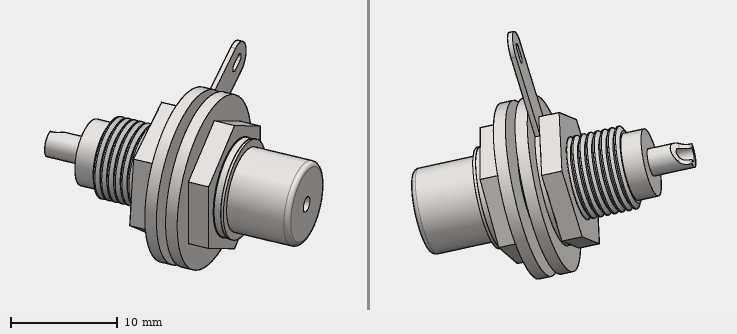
import cadquery as cq
import math


tail_length = 4.0
collar_length = 2.0
thread_start = tail_length + collar_length
nut_start = 11.1
nut_thickness = 2.0
lug_start = nut_start + nut_thickness
lug_thickness = 0.5
shoulder_washer_start = lug_start + lug_thickness
washer_thickness = 1.2
shoulder_start = shoulder_washer_start + washer_thickness
shoulder_length = 0.95
flat_washer_start = shoulder_start + shoulder_length
flange_start = flat_washer_start + washer_thickness
flange_thickness = 2.1
rim_start = flange_start + flange_thickness
rim_length = 1.05
barrel_start = rim_start + rim_length
barrel_end = 26.5

bore_diameter = 1.5
tail_diameter = 2.65
collar_diameter = 6.5
rim_diameter = 9.8
barrel_diameter = 8.3
barrel_edge_radius = 0.5

rim_groove_diameter = 9.7
rim_groove_offset = 0.07
rim_groove_length = 0.7

thread_diameter = 8.0
thread_root_diameter = 7.0
thread_pitch = 0.7
thread_crest_width = 0.14
thread_rings = int((lug_start - thread_start) / thread_pitch)

cup_arc_start = 0.2
cup_arc_radius = 1.13
cup_slope_angle = 55.0

nut_corners = 13.9
flange_corners = 13.7

washer_diameter = 17.0
shoulder_diameter = 9.2

lug_ring_diameter = 12.0
lug_width = 3.5
lug_reach = 14.08
slot_reach = 13.68
slot_length = 2.0
slot_width = 0.85

nut_turn = 7.5
lug_angle = 30.0 - nut_turn


def disc(start, thickness, diameter):
    return cq.Workplane("YZ", origin=(start, 0, 0)).circle(diameter / 2).extrude(thickness)


def ring(start, thickness, outer_diameter, inner_diameter):
    return disc(start, thickness, outer_diameter).cut(disc(start, thickness, inner_diameter))


def hexagon(start, thickness, corners, turn):
    """Hexagonal prism along X with a corner at the top, turned about X by `turn` degrees."""
    quarter_turn = 90
    prism = cq.Workplane("YZ", origin=(start, 0, 0)).polygon(6, corners).extrude(thickness)
    return prism.rotate((0, 0, 0), (1, 0, 0), quarter_turn + turn)


def turned_blank():
    """Revolved outline of the connector body: tail, collar, threaded shank, rim and barrel."""
    crest_radius = thread_diameter / 2
    root_radius = thread_root_diameter / 2
    flank_length = (thread_pitch - thread_crest_width) / 2

    outline = cq.Workplane("XY").moveTo(0, 0)
    outline = outline.lineTo(0, tail_diameter / 2)
    outline = outline.lineTo(tail_length, tail_diameter / 2)
    outline = outline.lineTo(tail_length, collar_diameter / 2)
    outline = outline.lineTo(thread_start, collar_diameter / 2)
    outline = outline.lineTo(thread_start, root_radius)
    for index in range(thread_rings):
        ring_start = thread_start + index * thread_pitch
        outline = outline.lineTo(ring_start + flank_length, crest_radius)
        outline = outline.lineTo(ring_start + flank_length + thread_crest_width, crest_radius)
        outline = outline.lineTo(ring_start + thread_pitch, root_radius)
    thread_end = thread_start + thread_rings * thread_pitch
    outline = outline.lineTo(thread_end, crest_radius)
    outline = outline.lineTo(rim_start, crest_radius)
    outline = outline.lineTo(rim_start, rim_diameter / 2)
    outline = outline.lineTo(barrel_start, rim_diameter / 2)
    outline = outline.lineTo(barrel_start, barrel_diameter / 2)
    outline = outline.lineTo(barrel_end, barrel_diameter / 2)
    outline = outline.lineTo(barrel_end, 0).close()
    return outline.revolve(360, (0, 0, 0), (1, 0, 0))


def solder_cup_cutter():
    """Material removed from the +Y half of the tail."""
    slope = math.radians(cup_slope_angle)
    half_slope = slope / 2
    arc_middle = (
        cup_arc_start + cup_arc_radius * math.sin(half_slope),
        cup_arc_radius - cup_arc_radius * math.cos(half_slope),
    )
    arc_end = (
        cup_arc_start + cup_arc_radius * math.sin(slope),
        cup_arc_radius - cup_arc_radius * math.cos(slope),
    )
    top_y = tail_diameter
    slope_end_x = arc_end[0] + (top_y - arc_end[1]) / math.tan(slope)
    return (
        cq.Workplane("XY")
        .moveTo(0, 0)
        .lineTo(cup_arc_start, 0)
        .threePointArc(arc_middle, arc_end)
        .lineTo(slope_end_x, top_y)
        .lineTo(0, top_y)
        .close()
        .extrude(tail_diameter / 2, both=True)
    )


def make_connector_body():
    body = turned_blank().faces(">X").edges().fillet(barrel_edge_radius)
    body = body.union(hexagon(flange_start, flange_thickness, flange_corners, 0))
    groove_start = rim_start + rim_groove_offset
    body = body.cut(ring(groove_start, rim_groove_length, rim_diameter, rim_groove_diameter))
    body = body.cut(solder_cup_cutter())
    return body.cut(disc(0, barrel_end, bore_diameter))


def make_nut():
    nut = hexagon(nut_start, nut_thickness, nut_corners, -nut_turn)
    return nut.cut(disc(nut_start, nut_thickness, thread_diameter))


def make_solder_lug():
    plane = cq.Workplane("YZ", origin=(lug_start, 0, 0))
    tongue = plane.center(lug_reach / 2, 0).rect(lug_reach, lug_width).extrude(lug_thickness)
    tip = plane.center(lug_reach, 0).circle(lug_width / 2).extrude(lug_thickness)
    slot = plane.center(slot_reach, 0).slot2D(slot_length, slot_width).extrude(lug_thickness)
    lug = disc(lug_start, lug_thickness, lug_ring_diameter).union(tongue).union(tip)
    lug = lug.cut(slot).cut(disc(lug_start, lug_thickness, thread_diameter))
    return lug.rotate((0, 0, 0), (1, 0, 0), lug_angle)


def make_shoulder_washer():
    flange = ring(shoulder_washer_start, washer_thickness, washer_diameter, thread_diameter)
    shoulder = ring(shoulder_start, shoulder_length, shoulder_diameter, thread_diameter)
    return flange.union(shoulder)


def make_flat_washer():
    return ring(flat_washer_start, washer_thickness, washer_diameter, thread_diameter)


connector_body = make_connector_body()
nut = make_nut()
solder_lug = make_solder_lug()
shoulder_washer = make_shoulder_washer()
flat_washer = make_flat_washer()

result = cq.Compound.makeCompound([
    connector_body.val(),
    nut.val(),
    solder_lug.val(),
    shoulder_washer.val(),
    flat_washer.val(),
])